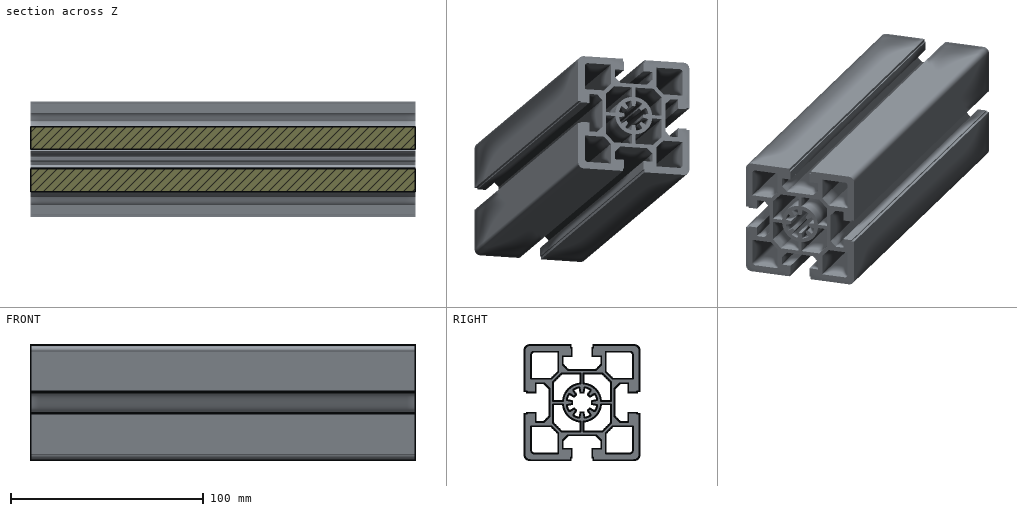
import cadquery as cq

LENGTH = 200.0
SIDE = 60.0
SIDE_COUNT = 4
HALF = SIDE / 2
CORNER_RADIUS = 3.0

SLOT_HALF = 5.2
LIP_THICKNESS = 6.0
REBATE_WIDTH = 0.5
REBATE_DEPTH = 1.5
NECK_HALF = 10.0
SLOT_FLOOR = 17.0
SLOT_BEVEL = 2.8

SLOT_FLOOR_WALL = 2.0
SLOT_SIDE_WALL = 2.5
SPOKE = 1.8

OUTER_WALL = 3.5
BOX_OUTER = HALF - OUTER_WALL
BOX_INNER = NECK_HALF + SLOT_SIDE_WALL
BOX_BEVEL = 3.5
BOX_ROUND = 1.5

CHAMBER_HALF = SLOT_FLOOR - SLOT_FLOOR_WALL
CHAMBER_BEVEL = 4.5

TUBE_OUTER_RADIUS = 10.0
TUBE_INNER_RADIUS = 8.0
TOOTH_COUNT = 8
TOOTH_TIP_RADIUS = 5.0
TOOTH_TIP_HALF = 0.8
TOOTH_ROOT_HALF = 1.5


def section():
    """Workplane of the cross-section at the -X end: local x is +Y, local y is +Z."""
    return cq.Workplane("YZ", origin=(-LENGTH / 2, 0, 0))


def around_axis(body, count=SIDE_COUNT):
    """Copies of a body spaced evenly about the X axis, joined together."""
    copies = body
    for i in range(1, count):
        copies = copies.union(body.rotate((0, 0, 0), (1, 0, 0), 360 / count * i))
    return copies


def outer_block():
    block = section().rect(SIDE, SIDE).extrude(LENGTH)
    return block.edges("|X").fillet(CORNER_RADIUS)


def slot_cutter():
    """T-slot on the +Z side, with a shallow rebate at its mouth and bevelled floor corners."""
    lip_inside = HALF - LIP_THICKNESS
    mouth_half = SLOT_HALF + REBATE_WIDTH
    rebate_floor = HALF - REBATE_DEPTH
    right_side = [
        (NECK_HALF - SLOT_BEVEL, SLOT_FLOOR),
        (NECK_HALF, SLOT_FLOOR + SLOT_BEVEL),
        (NECK_HALF, lip_inside),
        (SLOT_HALF, lip_inside),
        (SLOT_HALF, rebate_floor),
        (mouth_half, rebate_floor),
        (mouth_half, HALF),
    ]
    left_side = [(-y, z) for y, z in reversed(right_side)]
    return section().polyline(right_side + left_side).close().extrude(LENGTH)


def corner_box_cutter():
    """Box cavity of the +Y +Z corner, bevelled towards the centre."""
    outline = [
        (BOX_INNER + BOX_BEVEL, BOX_INNER),
        (BOX_OUTER, BOX_INNER),
        (BOX_OUTER, BOX_OUTER),
        (BOX_INNER, BOX_OUTER),
        (BOX_INNER, BOX_INNER + BOX_BEVEL),
    ]
    box = section().polyline(outline).close().extrude(LENGTH)
    return box.edges("|X and >(0, 1, 1)").fillet(BOX_ROUND)


def chamber_cutter():
    chamber = section().rect(2 * CHAMBER_HALF, 2 * CHAMBER_HALF).extrude(LENGTH)
    return chamber.edges("|X").chamfer(CHAMBER_BEVEL)


def spokes():
    """Crossed webs that carry the tube in the chamber."""
    span = 2 * SLOT_FLOOR
    upright = section().rect(SPOKE, span).extrude(LENGTH)
    level = section().rect(span, SPOKE).extrude(LENGTH)
    return upright.union(level)


def tooth():
    """Tooth on the +Z side of the bore, tapering towards the axis, rooted mid-way into the tube wall."""
    root_radius = (TUBE_INNER_RADIUS + TUBE_OUTER_RADIUS) / 2
    outline = [
        (-TOOTH_ROOT_HALF, root_radius),
        (-TOOTH_TIP_HALF, TOOTH_TIP_RADIUS),
        (TOOTH_TIP_HALF, TOOTH_TIP_RADIUS),
        (TOOTH_ROOT_HALF, root_radius),
    ]
    return section().polyline(outline).close().extrude(LENGTH)


def screw_tube():
    tube = section().circle(TUBE_OUTER_RADIUS).extrude(LENGTH)
    bore = section().circle(TUBE_INNER_RADIUS).extrude(LENGTH)
    return spokes().union(tube).cut(bore).union(around_axis(tooth(), TOOTH_COUNT))


result = (
    outer_block()
    .cut(around_axis(slot_cutter()))
    .cut(around_axis(corner_box_cutter()))
    .cut(chamber_cutter())
    .union(screw_tube())
)